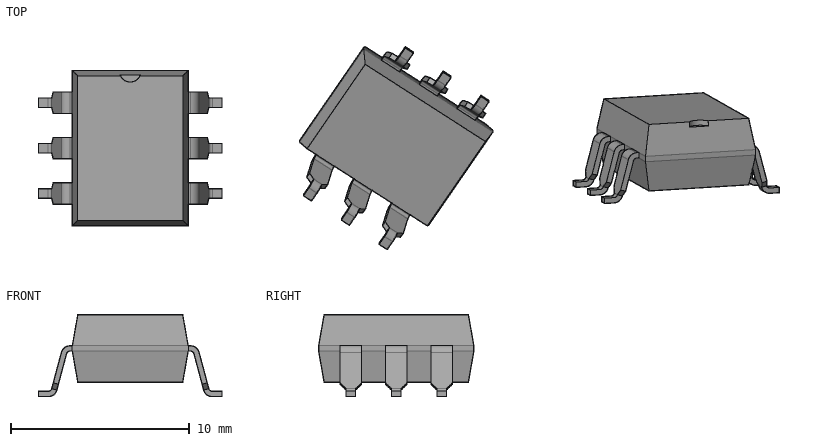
import cadquery as cq
import math

LEAD_SPAN = 10.3
PACKAGE_HEIGHT = 4.6

HOUSING_WIDTH = 6.5
HOUSING_LENGTH = 8.7
HOUSING_HEIGHT = 3.8
DRAFT_ANGLE = 10.0

NOTCH_RADIUS = 0.6
NOTCH_CENTRE_INSET = 0.05
NOTCH_DEPTH = 0.29

LEAD_THICKNESS = 0.31
LEAD_WIDTH = 1.22
FOOT_WIDTH = 0.55
FOOT_FLAT = 0.56
BEND_RADIUS = 0.2
LEG_TILT = 15.0
LEAD_PITCH = 2.54
LEADS_PER_SIDE = 3

BAND_HEIGHT = LEAD_THICKNESS
BAND_MIDDLE_Z = PACKAGE_HEIGHT - HOUSING_HEIGHT / 2
BAND_TOP_Z = BAND_MIDDLE_Z + BAND_HEIGHT / 2
BAND_BOTTOM_Z = BAND_MIDDLE_Z - BAND_HEIGHT / 2
DRAFTED_HEIGHT = (HOUSING_HEIGHT - BAND_HEIGHT) / 2
OUTER_BEND_RADIUS = BEND_RADIUS + LEAD_THICKNESS
TILT_SINE = math.sin(math.radians(LEG_TILT))
TILT_COSINE = math.cos(math.radians(LEG_TILT))


def housing_block(base_z, height, draft):
    """Block rising from base_z (or falling, for a negative height) with drafted walls."""
    return (
        cq.Workplane("XY", origin=(0, 0, base_z))
        .rect(HOUSING_WIDTH, HOUSING_LENGTH)
        .extrude(height, taper=draft)
    )


def make_housing():
    """Straight band between two drafted halves, with the pin 1 notch cut in the top."""
    band = housing_block(BAND_BOTTOM_Z, BAND_HEIGHT, 0)
    upper_half = housing_block(BAND_TOP_Z, DRAFTED_HEIGHT, DRAFT_ANGLE)
    lower_half = housing_block(BAND_BOTTOM_Z, -DRAFTED_HEIGHT, DRAFT_ANGLE)
    notch_centre_y = HOUSING_LENGTH / 2 - NOTCH_CENTRE_INSET
    notch = (
        cq.Workplane("XY", origin=(0, notch_centre_y, PACKAGE_HEIGHT))
        .circle(NOTCH_RADIUS)
        .extrude(-NOTCH_DEPTH)
    )
    return band.union(upper_half).union(lower_half).cut(notch)


FOOT_BEND_X = -LEAD_SPAN / 2 + FOOT_FLAT
FOOT_BEND_Z = LEAD_THICKNESS + BEND_RADIUS
SHOULDER_BEND_Z = BAND_BOTTOM_Z - BEND_RADIUS
BEND_RADII_SUM = BEND_RADIUS + OUTER_BEND_RADIUS
LEG_LENGTH = (SHOULDER_BEND_Z - FOOT_BEND_Z + BEND_RADII_SUM * TILT_SINE) / TILT_COSINE
SHOULDER_BEND_X = FOOT_BEND_X + BEND_RADII_SUM * TILT_COSINE + LEG_LENGTH * TILT_SINE


def foot_leg_point(radius):
    """Point where the foot bend of this radius meets the leg."""
    return (FOOT_BEND_X + radius * TILT_COSINE, FOOT_BEND_Z - radius * TILT_SINE)


def shoulder_leg_point(radius):
    """Point where the shoulder bend of this radius meets the leg."""
    return (SHOULDER_BEND_X - radius * TILT_COSINE, SHOULDER_BEND_Z + radius * TILT_SINE)


def lead_strip():
    """Bent strip of the -X lead at full width, from the foot tip to the housing wall."""
    foot_tip_x = -LEAD_SPAN / 2
    wall_x = -HOUSING_WIDTH / 2
    return (
        cq.Workplane("XZ")
        .moveTo(foot_tip_x, 0)
        .lineTo(FOOT_BEND_X, 0)
        .radiusArc(foot_leg_point(OUTER_BEND_RADIUS), -OUTER_BEND_RADIUS)
        .lineTo(*shoulder_leg_point(BEND_RADIUS))
        .radiusArc((SHOULDER_BEND_X, BAND_BOTTOM_Z), BEND_RADIUS)
        .lineTo(wall_x, BAND_BOTTOM_Z)
        .lineTo(wall_x, BAND_TOP_Z)
        .lineTo(SHOULDER_BEND_X, BAND_TOP_Z)
        .radiusArc(shoulder_leg_point(OUTER_BEND_RADIUS), -OUTER_BEND_RADIUS)
        .lineTo(*foot_leg_point(BEND_RADIUS))
        .radiusArc((FOOT_BEND_X, LEAD_THICKNESS), BEND_RADIUS)
        .lineTo(foot_tip_x, LEAD_THICKNESS)
        .close()
        .extrude(LEAD_WIDTH / 2, both=True)
    )


def foot_side_waste():
    """Material beside the narrow foot, with a 45 degree taper ending where the leg meets the bend."""
    start_x, start_z = foot_leg_point(BEND_RADIUS)
    leg_plane = cq.Plane(
        origin=(start_x, 0, start_z),
        xDir=(TILT_SINE, 0, TILT_COSINE),
        normal=(-TILT_COSINE, 0, TILT_SINE),
    )
    half_foot = FOOT_WIDTH / 2
    half_lead = LEAD_WIDTH / 2
    taper_length = half_lead - half_foot
    reach = FOOT_FLAT + 2 * OUTER_BEND_RADIUS
    one_side = (
        cq.Workplane(leg_plane)
        .polyline([
            (taper_length, half_lead),
            (0, half_foot),
            (-reach, half_foot),
            (-reach, half_lead),
        ])
        .close()
        .extrude(reach, both=True)
    )
    return one_side.union(one_side.mirror("XZ"))


def make_lead(side, y):
    """One lead at the given Y; side is -1 for the -X wall and +1 for the +X wall."""
    lead = lead_strip().cut(foot_side_waste())
    if side > 0:
        lead = lead.mirror("YZ")
    return lead.translate((0, y, 0))


housing = make_housing()

leads = []
for side in (-1, 1):
    for index in range(LEADS_PER_SIDE):
        lead_y = (index - (LEADS_PER_SIDE - 1) / 2) * LEAD_PITCH
        leads.append(make_lead(side, lead_y).solids().val())

result = cq.Compound.makeCompound([housing.solids().val(), *leads])